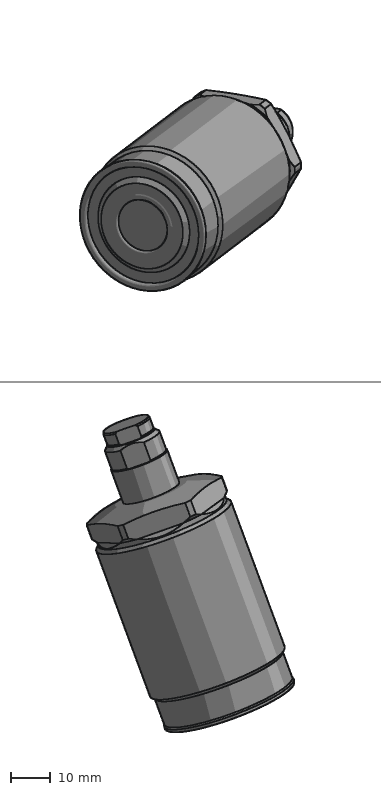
import cadquery as cq
import math


cover_end = 1.4
housing_end = 58.05
sleeve_end = 66.85
gland_end = 73.0
total_length = 77.0

barrel_radius = 18.0
nose_radius = 17.1
shoulder_step = barrel_radius - nose_radius
barrel_start = 9.35
barrel_end = 48.85
hex_flat_distance = 16.0
hex_start = 51.1
hex_cone_angle = math.radians(15)
hex_cone_start = 55.8
hex_cone_drop = housing_end - hex_cone_start

rim_radius = 17.3
rim_edge_round = 0.4
rim_side_end = 0.9
recess_radius = 15.45
recess_edge_round = 0.65
recess_depth = 1.2
boss_base_radius = 12.65
boss_top_radius = 11.3
boss_top = 0.1
ring_base_radius = 8.5
ring_outer_radius = 8.1
dimple_radius = 6.8
dimple_edge_round = 0.5
dimple_depth = 0.8

sleeve_radius = 7.5
gland_radius = 7.3
gland_flat_distance = 6.6
gland_front_chamfer = 0.25
gland_rear_chamfer = 1.0
cap_radius = 6.2
cap_flat_distance = 5.45
cap_chamfer_radial = 0.2
cap_chamfer_length = 0.45
cap_dome_height = 0.35


def turn(points):
    """Solid of revolution about Y from (radius, y) points."""
    return cq.Workplane("XY").polyline(points).close().revolve(360, (0, 0, 0), (0, 1, 0))


def across_flats(body, flat_distance):
    """Keep the part of a body between two flats facing +Z and -Z."""
    width = 4 * flat_distance
    slab = cq.Workplane("XY").box(width, 2 * total_length, 2 * flat_distance)
    slab = slab.translate((0, total_length, 0))
    return body.intersect(slab)


def plane_at(y):
    """Plane across the axis at station y, facing +Y."""
    return cq.Plane(origin=(0, y, 0), xDir=(1, 0, 0), normal=(0, 1, 0))


def hexagon(flat_distance, y):
    """Hexagon outline at station y with flats facing +Z and -Z."""
    corner_diameter = 2 * flat_distance / math.cos(math.radians(30))
    return cq.Workplane(plane_at(y)).polygon(6, corner_diameter)


def make_housing():
    groove_start = barrel_end + shoulder_step
    body = turn([
        (0, cover_end),
        (nose_radius, cover_end),
        (nose_radius, barrel_start - shoulder_step),
        (barrel_radius, barrel_start),
        (barrel_radius, barrel_end),
        (nose_radius, groove_start),
        (nose_radius, hex_start),
        (barrel_radius, hex_start + shoulder_step),
        (barrel_radius, hex_cone_start),
        (barrel_radius - hex_cone_drop / math.tan(hex_cone_angle), housing_end),
        (0, housing_end),
    ])
    runout = nose_radius - hex_flat_distance
    blank_radius = 2 * barrel_radius
    blank_height = housing_end - hex_start + runout
    blank = cq.Workplane(plane_at(hex_start - runout)).circle(blank_radius).extrude(blank_height)
    prism = hexagon(hex_flat_distance, hex_start).extrude(housing_end - hex_start)
    taper = hexagon(hex_flat_distance, hex_start).extrude(-runout, taper=-45)
    return body.cut(blank.cut(prism).cut(taper))


def make_cover():
    arc_near = 1 - math.sqrt(0.5)
    ring_mouth_radius = dimple_radius + dimple_edge_round
    recess_mouth_radius = recess_radius + recess_edge_round
    dimple_arc_middle = (dimple_radius + arc_near * dimple_edge_round, arc_near * dimple_edge_round)
    rim_arc_middle = (rim_radius - arc_near * rim_edge_round, arc_near * rim_edge_round)
    recess_arc_middle = (recess_radius + arc_near * recess_edge_round, arc_near * recess_edge_round)
    return (
        cq.Workplane("XY")
        .moveTo(0, dimple_depth)
        .lineTo(dimple_radius, dimple_depth)
        .lineTo(dimple_radius, dimple_edge_round)
        .threePointArc(dimple_arc_middle, (ring_mouth_radius, 0))
        .lineTo(ring_outer_radius, 0)
        .lineTo(ring_base_radius, boss_top)
        .lineTo(boss_top_radius, boss_top)
        .lineTo(boss_base_radius, recess_depth)
        .lineTo(recess_radius, recess_depth)
        .lineTo(recess_radius, recess_edge_round)
        .threePointArc(recess_arc_middle, (recess_mouth_radius, 0))
        .lineTo(rim_radius - rim_edge_round, 0)
        .threePointArc(rim_arc_middle, (rim_radius, rim_edge_round))
        .lineTo(rim_radius, rim_side_end)
        .lineTo(nose_radius, cover_end)
        .lineTo(0, cover_end)
        .close()
        .revolve(360, (0, 0, 0), (0, 1, 0))
    )


def make_sleeve():
    return turn([
        (0, housing_end),
        (sleeve_radius, housing_end),
        (sleeve_radius, sleeve_end),
        (0, sleeve_end),
    ])


def make_gland():
    body = turn([
        (0, sleeve_end),
        (gland_radius - gland_front_chamfer, sleeve_end),
        (gland_radius, sleeve_end + gland_front_chamfer),
        (gland_radius, gland_end - gland_rear_chamfer),
        (gland_radius - gland_rear_chamfer, gland_end),
        (0, gland_end),
    ])
    return across_flats(body, gland_flat_distance)


def make_cap():
    edge_radius = cap_radius - cap_chamfer_radial
    rim_end = total_length - cap_dome_height
    dome_sphere = (edge_radius**2 + cap_dome_height**2) / (2 * cap_dome_height)
    half_angle = math.asin(edge_radius / dome_sphere) / 2
    dome_middle = (
        dome_sphere * math.sin(half_angle),
        total_length - dome_sphere * (1 - math.cos(half_angle)),
    )
    body = (
        cq.Workplane("XY")
        .moveTo(0, gland_end)
        .lineTo(edge_radius, gland_end)
        .lineTo(cap_radius, gland_end + cap_chamfer_length)
        .lineTo(cap_radius, rim_end - cap_chamfer_length)
        .lineTo(edge_radius, rim_end)
        .threePointArc(dome_middle, (0, total_length))
        .close()
        .revolve(360, (0, 0, 0), (0, 1, 0))
    )
    return across_flats(body, cap_flat_distance)


housing = make_housing()
cover = make_cover()
sleeve = make_sleeve()
gland = make_gland()
cap = make_cap()

result = cq.Compound.makeCompound([
    housing.val(),
    cover.val(),
    sleeve.val(),
    gland.val(),
    cap.val(),
])